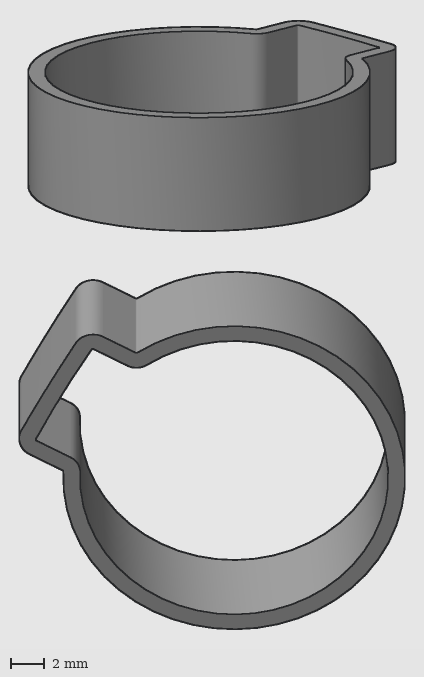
import cadquery as cq

overall_length = 22.8
ring_diameter = 20.3
band_width = 7.0
thickness = 1.0

ear_width = 9.0
ear_crown = 0.1
ear_corner_radius = 1.2

tight_bend = 0.1
neck_inner_radius = tight_bend + thickness

ring_radius = ring_diameter / 2
ear_top = overall_length - ring_radius


def filled_profile(inset, corner_radius, neck_radius):
    """Solid bounded by the band's outer surface moved inwards by inset."""
    disc_radius = ring_radius - inset
    half_ear = ear_width / 2 - inset
    top = ear_top - inset
    shoulder = top - ear_crown

    disc = cq.Workplane("XY").circle(disc_radius).extrude(band_width)
    ear = (
        cq.Workplane("XY")
        .moveTo(-half_ear, 0)
        .lineTo(-half_ear, shoulder)
        .threePointArc((0, top), (half_ear, shoulder))
        .lineTo(half_ear, 0)
        .close()
        .extrude(band_width)
        .edges("|Z")
        .edges(">Y")
        .fillet(corner_radius)
    )

    neck_y = (disc_radius**2 - half_ear**2) ** 0.5
    neck_zone = cq.selectors.BoxSelector(
        (-ear_width, neck_y - tight_bend, 0),
        (ear_width, neck_y + tight_bend, band_width),
    )
    return disc.union(ear).edges("|Z").edges(neck_zone).fillet(neck_radius)


outer = filled_profile(0, ear_corner_radius, tight_bend)
opening = filled_profile(thickness, tight_bend, neck_inner_radius)

result = outer.cut(opening)